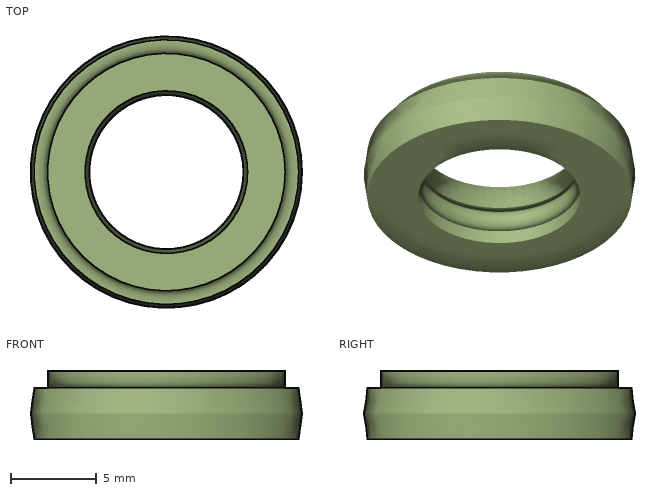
import cadquery as cq

rim_radius = 7.95
rim_end_radius = 7.75
collar_radius = 6.95
bore_radius = 4.75
total_height = 4.0
collar_height = 1.0
rim_height = total_height - collar_height

ring_section_radius = 0.73
ring_inner_radius = 4.5
ring_center_radius = ring_inner_radius + ring_section_radius

groove_bottom = 0.85
groove_top = 2.51
groove_height = groove_top - groove_bottom
groove_floor_radius = ring_center_radius + ring_section_radius
ring_center_z = (groove_bottom + groove_top) / 2


def make_groove():
    return (
        cq.Workplane("XY")
        .workplane(offset=groove_bottom)
        .circle(groove_floor_radius)
        .extrude(groove_height)
    )


def make_housing():
    body = (
        cq.Workplane("XZ")
        .moveTo(bore_radius, 0)
        .lineTo(rim_end_radius, 0)
        .lineTo(rim_radius, rim_height / 2)
        .lineTo(rim_end_radius, rim_height)
        .lineTo(collar_radius, rim_height)
        .lineTo(collar_radius, total_height)
        .lineTo(bore_radius, total_height)
        .close()
        .revolve(360, (0, 0, 0), (0, 1, 0))
    )
    return body.cut(make_groove())


def make_sealing_ring():
    torus = cq.Solid.makeTorus(ring_center_radius, ring_section_radius)
    return cq.Workplane("XY").add(torus).translate((0, 0, ring_center_z))


housing = make_housing()
sealing_ring = make_sealing_ring()

result = cq.Compound.makeCompound([housing.val(), sealing_ring.val()])